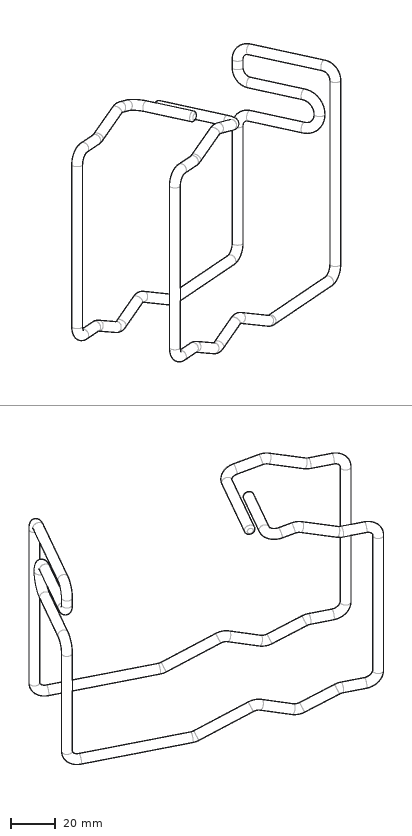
import cadquery as cq
import math

overall_width = 55.0
overall_depth = 150.0

wire_diameter = 5.0
bend_radius = 6.0
end_round = 1.0

right_x = (overall_width - wire_diameter) / 2
left_x = -right_x
front_y = 0.0
back_y = overall_depth - wire_diameter
floor_z = 0.0

step_y = 18.0
valley_y = 37.6
crest_y = 57.0
ramp_foot_y = 85.8
crest_z = 12.0
valley_drop = 8.0
valley_z = crest_z - valley_drop

arm_z = 102.2
peak_z = arm_z + valley_drop
end_slope = 0.22
short_end_y = 51.3
long_end_y = 57.2
short_end_length = 31.0
long_end_length = 42.0

top_bar_z = 100.8
hairpin_top_z = 84.8
hairpin_bottom_z = 68.7
hairpin_radius = (hairpin_top_z - hairpin_bottom_z) / 2
hairpin_reach = 42.0

length_tolerance = 1.5e-06


def rail(x, end_y, tip_x):
    """Corners of one side with their bend radii, from the wire tip to the foot of the back upright."""
    end_z = peak_z - end_slope * (end_y - valley_y)
    corners = [
        (tip_x, end_y, end_z),
        (x, end_y, end_z),
        (x, valley_y, peak_z),
        (x, step_y, arm_z),
        (x, front_y, arm_z),
        (x, front_y, crest_z),
        (x, step_y, crest_z),
        (x, valley_y, valley_z),
        (x, crest_y, crest_z),
        (x, ramp_foot_y, floor_z),
        (x, back_y, floor_z),
    ]
    return [(corner, bend_radius) for corner in corners]


def back_loop():
    """Corners with bend radii from the left upright through the hairpin to the top bar."""
    hairpin_x = left_x + hairpin_reach
    return [
        ((left_x, back_y, hairpin_bottom_z), bend_radius),
        ((hairpin_x, back_y, hairpin_bottom_z), hairpin_radius),
        ((hairpin_x, back_y, hairpin_top_z), hairpin_radius),
        ((left_x, back_y, hairpin_top_z), bend_radius),
        ((left_x, back_y, top_bar_z), bend_radius),
        ((right_x, back_y, top_bar_z), bend_radius),
    ]


def bend(before, corner, after, radius):
    """Start, middle and end of the arc that rounds a corner."""
    toward_before = (before - corner).normalized()
    toward_after = (after - corner).normalized()
    half_angle = toward_before.getAngle(toward_after) / 2
    setback = radius / math.tan(half_angle)
    middle_offset = radius / math.sin(half_angle) - radius
    bisector = (toward_before + toward_after).normalized()
    return (
        corner + toward_before * setback,
        corner + bisector * middle_offset,
        corner + toward_after * setback,
    )


def centreline(corners):
    """Tangent chain of straights and arcs; touching arcs have no straight between them."""
    points = [cq.Vector(*corner) for corner, _ in corners]
    edges = []
    position = points[0]
    for i in range(1, len(points) - 1):
        start, middle, end = bend(points[i - 1], points[i], points[i + 1], corners[i][1])
        if (start - position).Length > length_tolerance:
            edges.append(cq.Edge.makeLine(position, start))
        edges.append(cq.Edge.makeThreePointArc(start, middle, end))
        position = end
    edges.append(cq.Edge.makeLine(position, points[-1]))
    return cq.Wire.assembleEdges(edges)


left_rail = rail(left_x, short_end_y, left_x + short_end_length)
right_rail = rail(right_x, long_end_y, right_x - long_end_length)
path = centreline(left_rail + back_loop() + right_rail[::-1])

tip_plane = cq.Plane(origin=left_rail[0][0], xDir=(0, 1, 0), normal=(-1, 0, 0))
clip = cq.Workplane(tip_plane).circle(wire_diameter / 2).sweep(cq.Workplane(path))

result = clip.faces("%PLANE").edges().fillet(end_round)